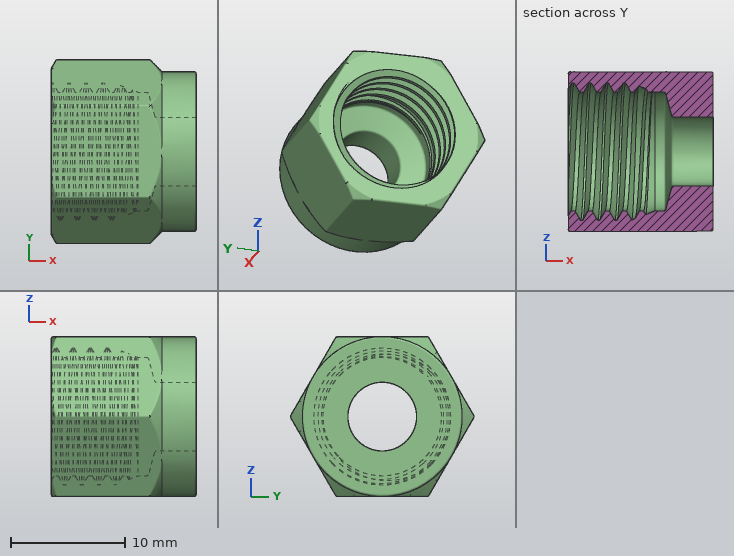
import cadquery as cq
import math

across_flats = 14.0
total_length = 12.7
hex_length = 9.7
edge_round = 0.18

flat_radius = across_flats / 2
corner_radius = flat_radius / math.cos(math.pi / 6)

front_chamfer_radius = 7.3
front_chamfer_angle = math.radians(30)
rear_chamfer_angle = math.radians(45)

thread_diameter = 12.0
pitch = 1.5
flank_angle = math.radians(30)
full_thread_end = 5.5
runout_end = 7.6
thread_height = pitch / (2 * math.tan(flank_angle))
major_radius = thread_diameter / 2
minor_radius = major_radius - 5 / 8 * thread_height
root_flat = pitch / 8
thread_start_angle = 79.0

seat_start = 8.5
tube_radius = 3.0
seat_half_angle = math.radians(75)

margin = 1.0


def revolve_about_x(points):
    """Revolve an (x, radius) outline about the nut axis."""
    return cq.Workplane("XY").polyline(points).close().revolve(360, (0, 0, 0), (1, 0, 0))


def make_hexagon():
    """Hexagonal head with conical corner chamfers and rounded edges."""
    hidden_length = margin / 2
    blank_length = hex_length + hidden_length
    hexagon = (
        cq.Workplane("YZ")
        .polygon(6, 2 * corner_radius)
        .extrude(blank_length)
        .edges("|X")
        .fillet(edge_round)
    )
    outer = corner_radius + margin
    front_depth = (outer - front_chamfer_radius) * math.tan(front_chamfer_angle)
    rear_slope = math.tan(rear_chamfer_angle)
    rear_cone_start = hex_length - (outer - flat_radius) * rear_slope
    rear_end_radius = flat_radius - hidden_length / rear_slope
    envelope = revolve_about_x([
        (0, 0),
        (0, front_chamfer_radius),
        (front_depth, outer),
        (rear_cone_start, outer),
        (blank_length, rear_end_radius),
        (blank_length, 0),
    ])
    body = hexagon.intersect(envelope)
    face_edges = body.edges("not |X").edges("not >X")
    return face_edges.fillet(edge_round)


def make_collar():
    """Round collar behind the hexagon, with its rear rim rounded."""
    collar_start = hex_length - margin
    return (
        cq.Workplane("YZ", origin=(collar_start, 0, 0))
        .circle(flat_radius)
        .extrude(total_length - collar_start)
        .faces(">X")
        .edges()
        .fillet(edge_round)
    )


def make_bore():
    """Barrel, seat cone and tube hole as one revolved cutter."""
    seat_end = seat_start + (minor_radius - tube_radius) / math.tan(seat_half_angle)
    cutter = revolve_about_x([
        (-margin, 0),
        (-margin, minor_radius),
        (seat_start, minor_radius),
        (seat_end, tube_radius),
        (total_length + margin, tube_radius),
        (total_length + margin, 0),
    ])
    rims = cutter.edges("%CIRCLE").edges("not(<X or >X)")
    return rims.fillet(edge_round)


def make_thread_groove():
    """Helical groove with 60 degree flanks and a flat root."""
    root_half = root_flat / 2
    inner_radius = minor_radius - margin / 10
    inner_half = root_half + (major_radius - inner_radius) * math.tan(flank_angle)
    profile = (
        cq.Workplane("XZ")
        .polyline([
            (inner_radius, -inner_half),
            (major_radius, -root_half),
            (major_radius, root_half),
            (inner_radius, inner_half),
        ])
        .close()
    )
    helix = cq.Workplane(cq.Wire.makeHelix(pitch, runout_end + 2 * pitch, minor_radius))
    groove = profile.sweep(helix, isFrenet=True)
    groove = (
        groove.translate((0, 0, -pitch))
        .rotate((0, 0, 0), (0, 0, 1), thread_start_angle)
        .rotate((0, 0, 0), (0, 1, 0), 90)
    )
    taper = (runout_end - full_thread_end) / (major_radius - minor_radius)
    beyond_runout = revolve_about_x([
        (full_thread_end - margin * taper, major_radius + margin),
        (runout_end + margin * taper, minor_radius - margin),
        (runout_end + margin * taper, major_radius + margin),
    ])
    return groove.cut(beyond_runout)


nut = make_hexagon().union(make_collar())
result = nut.cut(make_bore()).cut(make_thread_groove())